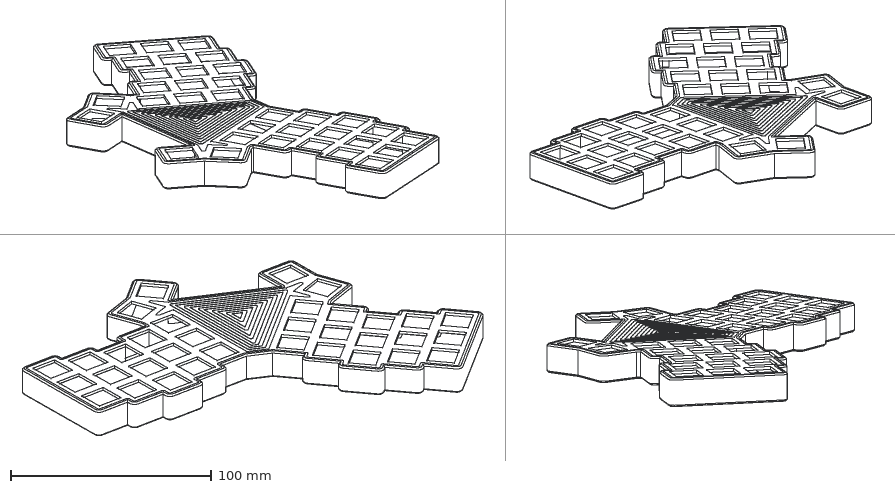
import cadquery as cq
import math

height = 14.5
wing_angle = 25.0
thumb_angle = 45.0
rows = 3
columns = 5
pitch = 57.1 / rows
key_opening = 14.0
column_steps = (2, 1, 0, 1, 2)
stagger = pitch / 4
inner_column_u = -25.4
inner_column_v = -9.7
thumb_axis_y = -33.5
thumb_key_x = -48.0

wall = 2.09
chamfer = 0.85
corner_radius = 1.0
floor = 1.5
plate_thickness = 1.5
inner_top_y = 24.2
inner_bottom_y = -38.9

cover_margin = 1.0
cover_top_y = 23.0
cover_bottom_y = -37.7
groove_width = 2.0
groove_count = 5
groove_depth = 0.12

case_top = height / 2
case_bottom = -height / 2
floor_top = case_bottom + floor
plate_bottom = case_top - plate_thickness
cell = pitch / 2
reach = rows * cell
cos_wing = math.cos(math.radians(wing_angle))
sin_wing = math.sin(math.radians(wing_angle))
cover_side_u = inner_column_u + cell + cover_margin


def wing_point(u, v):
    """Place a point of the turned left-wing frame in X and Y."""
    return (u * cos_wing + v * sin_wing, v * cos_wing - u * sin_wing)


def direction(angle):
    """Unit vector at an angle in degrees."""
    return (math.cos(math.radians(angle)), math.sin(math.radians(angle)))


def meet(p, p_direction, q, q_direction):
    """Crossing point of two lines, each given by a point and a direction."""
    (px, py), (qx, qy) = p_direction, q_direction
    along = ((q[0] - p[0]) * qy - (q[1] - p[1]) * qx) / (px * qy - py * qx)
    return (p[0] + along * px, p[1] + along * py)


def cell_corner(center, angle, right, up):
    """Corner of a turned key cell; right and up are -1 or 1."""
    ax, ay = direction(angle)
    return (
        center[0] + cell * (right * ax - up * ay),
        center[1] + cell * (right * ay + up * ax),
    )


def mirrored_sketch(points):
    """Closed sketch of a left half outline and its mirror image about X = 0."""
    outline = points + [(-x, y) for x, y in reversed(points)]
    return cq.Sketch().polygon(outline + outline[:1])


def prism(sketch, bottom, top):
    return cq.Workplane("XY").workplane(offset=bottom).placeSketch(sketch).extrude(top - bottom)


column_u = [inner_column_u - pitch * (columns - 1 - i) for i in range(columns)]
column_v = [inner_column_v + stagger * (column_steps[-1] - step) for step in column_steps]
finger_keys = [
    wing_point(u, v + pitch * row)
    for u, v in zip(column_u, column_v)
    for row in (-1, 0, 1)
]
lowest_inner_key = wing_point(inner_column_u, inner_column_v - pitch)
upper_thumb = (thumb_key_x, thumb_axis_y)
lower_thumb = (lowest_inner_key[0], 2 * thumb_axis_y - lowest_inner_key[1])
keys = [(center, -wing_angle) for center in finger_keys]
keys += [(upper_thumb, thumb_angle), (lower_thumb, wing_angle)]

east = direction(0)
wing_row = direction(-wing_angle)
wing_column = direction(90 - wing_angle)
thumb_row = direction(wing_angle)
thumb_column = direction(90 + wing_angle)
diagonal_up = direction(thumb_angle)
diagonal_down = direction(thumb_angle - 90)


def plate_sketch():
    """Plate outline: the key cells of both wings, joined between the wings."""
    tops = []
    bottoms = []
    for u, v in zip(column_u, column_v):
        tops += [wing_point(u - cell, v + reach), wing_point(u + cell, v + reach)]
        bottoms += [wing_point(u - cell, v - reach), wing_point(u + cell, v - reach)]
    top_inner = meet(tops[-1], wing_row, (0, inner_top_y), east)
    left_tip = cell_corner(upper_thumb, thumb_angle, -1, 1)
    crotch = meet(bottoms[-1], wing_row, left_tip, diagonal_up)
    thumb_left = cell_corner(lower_thumb, wing_angle, -1, -1)
    thumb_right = cell_corner(lower_thumb, wing_angle, 1, -1)
    elbow = meet(left_tip, diagonal_down, thumb_left, thumb_column)
    bottom_inner = meet(thumb_right, thumb_column, (0, inner_bottom_y), east)
    half = [top_inner] + tops[-2::-1] + bottoms[:-1]
    half += [crotch, left_tip, elbow, thumb_left, thumb_right, bottom_inner]
    return mirrored_sketch(half).vertices().fillet(corner_radius).reset()


def cover_sketch():
    """Cover outline: a cut-off triangle with forked lower corners beside the thumb keys."""
    side = wing_point(cover_side_u, 0)
    arm = wing_point(0, inner_column_v - reach - cover_margin)
    notch = (upper_thumb[0] + (cell + cover_margin) * math.sqrt(2), thumb_axis_y)
    top = meet(side, wing_column, (0, cover_top_y), east)
    shoulder = meet(side, wing_column, arm, wing_row)
    upper_tip = meet(arm, wing_row, notch, diagonal_down)
    lower_tip = (upper_tip[0], 2 * thumb_axis_y - upper_tip[1])
    heel = meet(lower_tip, thumb_row, (0, cover_bottom_y), east)
    half = [top, shoulder, upper_tip, notch, lower_tip, heel]
    return mirrored_sketch(half).vertices("<X or >X").fillet(corner_radius).reset()


def ring_sketch(inset):
    """Triangle parallel to the cover's sides, cut off at the top where the cover top reaches it."""
    apex_y = -(cover_side_u + inset) / sin_wing
    top_y = cover_top_y - inset
    bottom_y = cover_bottom_y + inset
    slope = sin_wing / cos_wing
    bottom_x = (apex_y - bottom_y) * slope
    outline = [(-bottom_x, bottom_y), (bottom_x, bottom_y)]
    if top_y < apex_y:
        top_x = (apex_y - top_y) * slope
        outline += [(top_x, top_y), (-top_x, top_y)]
    else:
        outline.append((0, apex_y))
    return cq.Sketch().polygon(outline + outline[:1])


def make_case():
    cavity = prism(plate_sketch(), floor_top, case_top)
    base_outline = prism(plate_sketch(), case_bottom, case_top).faces("<Z").wires().vals()
    case = (
        cq.Workplane("XY").workplane(offset=case_bottom)
        .add(base_outline).toPending()
        .offset2D(wall)
        .extrude(height)
    )
    case = case.faces("<Z or >Z").edges().chamfer(chamfer)
    return case.cut(cavity)


def make_plate():
    plate = prism(plate_sketch(), plate_bottom, case_top)
    plate = plate.cut(prism(cover_sketch(), plate_bottom, case_top))
    for (x, y), angle in keys:
        for side in (1, -1):
            opening = (
                cq.Workplane("XY").workplane(offset=plate_bottom)
                .rect(key_opening, key_opening)
                .extrude(plate_thickness)
                .rotate((0, 0, 0), (0, 0, 1), side * angle)
                .translate((side * x, y, 0))
            )
            plate = plate.cut(opening)
    return plate


def make_cover():
    cover = prism(cover_sketch(), plate_bottom, case_top)
    groove_bottom = case_top - groove_depth
    for i in range(groove_count):
        outer_inset = (2 * i + 1) * groove_width
        outer = ring_sketch(outer_inset).vertices().fillet(corner_radius).reset()
        inner = ring_sketch(outer_inset + groove_width)
        groove = prism(outer, groove_bottom, case_top).cut(prism(inner, groove_bottom, case_top))
        cover = cover.cut(groove)
    return cover


case = make_case()
plate = make_plate()
cover = make_cover()
result = cq.Compound.makeCompound([case.val(), plate.val(), cover.val()])